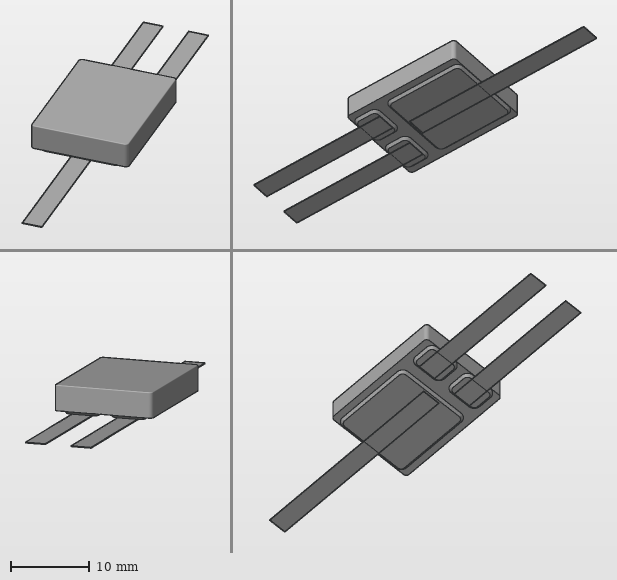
import cadquery as cq

body_width = 13.34
body_length = 17.52
body_top = 3.86
body_bottom = 0.5
corner_radius = 0.51
top_edge_radius = 0.13

lead_width = 2.69
lead_thickness = 0.13
lead_reach = 16.83
small_lead_offset = 3.1
small_lead_inner_end = 5.1
large_lead_inner_end = 2.7

pad_end = 8.7
pad_corner_radius = 1.0
pad_taper = 45.0
large_pad_width = 11.4
large_pad_inner_end = 3.33
small_pad_gap = 1.2
small_pad_inner_end = 4.75
small_pad_width = (large_pad_width - small_pad_gap) / 2
small_pad_offset = (small_pad_width + small_pad_gap) / 2

lead_tip = body_length / 2 + lead_reach


def block(center_x, width, y_start, y_end, z_start, z_end):
    """Box given by its X centre and width and its Y and Z limits."""
    return (
        cq.Workplane("XY")
        .box(width, y_end - y_start, z_end - z_start, centered=False)
        .translate((center_x - width / 2, y_start, z_start))
    )


def make_body():
    wall_end = body_length / 2
    body = block(0, body_width, -wall_end, wall_end, body_bottom, body_top)
    body = body.edges("|Z").fillet(corner_radius)
    return body.faces(">Z").edges().fillet(top_edge_radius)


def make_pad(center_x, width, y_start, y_end):
    """Pad with rounded corners, tapering from the body down to its lead."""
    outline = (
        cq.Sketch()
        .rect(width, y_end - y_start)
        .vertices()
        .fillet(pad_corner_radius)
    )
    return (
        cq.Workplane("XY", origin=(center_x, (y_start + y_end) / 2, body_bottom))
        .placeSketch(outline)
        .extrude(lead_thickness - body_bottom, taper=pad_taper)
    )


def make_lead(center_x, y_start, y_end):
    return block(center_x, lead_width, y_start, y_end, 0, lead_thickness)


def make_large_contact():
    pad = make_pad(0, large_pad_width, -pad_end, large_pad_inner_end)
    lead = make_lead(0, -lead_tip, large_lead_inner_end)
    return pad.union(lead)


def make_small_contact(side):
    pad = make_pad(side * small_pad_offset, small_pad_width, small_pad_inner_end, pad_end)
    lead = make_lead(side * small_lead_offset, small_lead_inner_end, lead_tip)
    return pad.union(lead)


result = make_body().union(make_large_contact())
for side in (-1, 1):
    result = result.union(make_small_contact(side))